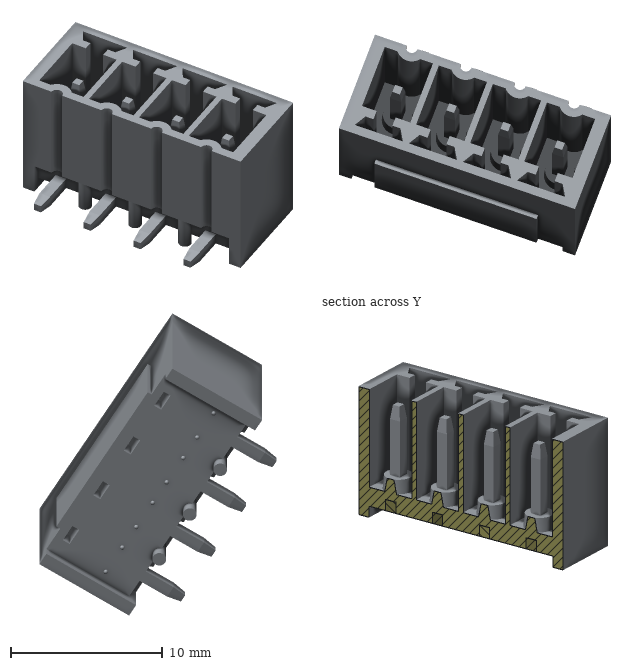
import cadquery as cq


pole_count = 4
pitch = 3.8
pin_width = 0.8
pin_tip_width = 0.53
pin_taper = 1.0
pin_bottom = 0.8
pin_reach = 2.6
pin_post_y = 2.8
pin_top = 8.2

width = 16.63
depth = 7.0
height = 9.2
leg_width = 0.88
underside = pin_bottom
recess_top = 2.2
recess_depth = 0.55

front_wall = 0.6
cavity_floor = recess_top
cavity_half = 1.7
cavity_back = 5.0
neck_half = 0.67
neck_back = 5.62
flare_half = 1.23
flare_back = 6.42
window_half = 0.6
window_front = 5.89

groove_radius = 0.4
rib_radius = 1.0

collar_radius = 1.05
collar_top_radius = 0.96
collar_height = 1.0

pad_diameter = 0.3
pad_offset = 1.03
post_diameter = 0.9
post_y = post_diameter / 2

plate_thickness = 0.3
plate_width = (pole_count - 1) * pitch
plate_top = 5.5

pole_places = [(i - (pole_count - 1) / 2) * pitch for i in range(pole_count)]
post_places = [(a + b) / 2 for a, b in zip(pole_places, pole_places[1:])]


def block(x0, x1, y0, y1, z0, z1):
    """A box between two opposite corners."""
    return cq.Workplane("XY").box(x1 - x0, y1 - y0, z1 - z0, centered=False).translate((x0, y0, z0))


def upright_cylinder(x, y, radius, z0, z1):
    return cq.Workplane("XY", origin=(x, y, z0)).circle(radius).extrude(z1 - z0)


def tapered_tip(shoulder):
    """Square tip that narrows away from the shoulder plane it stands on."""
    base = shoulder.rect(pin_width, pin_width)
    return base.workplane(offset=pin_taper).rect(pin_tip_width, pin_tip_width).loft()


def make_pin(x):
    """Square L-shaped contact with a tapered tip at both ends."""
    half = pin_width / 2
    axis_z = pin_bottom + half
    shoulder_y = -pin_reach + pin_taper
    shoulder_z = pin_top - pin_taper
    foot = block(x - half, x + half, shoulder_y, pin_post_y + half, pin_bottom, pin_bottom + pin_width)
    upright = block(x - half, x + half, pin_post_y - half, pin_post_y + half, pin_bottom, shoulder_z)
    front_tip = tapered_tip(cq.Workplane("XZ", origin=(x, shoulder_y, axis_z)))
    top_tip = tapered_tip(cq.Workplane("XY", origin=(x, pin_post_y, shoulder_z)))
    return foot.union(upright).union(front_tip).union(top_tip)


def make_cavity(x):
    """Plug space: a main bay, a narrow neck and a dovetail behind it, plus a window through the bottom."""
    right_side = [
        (cavity_half, front_wall),
        (cavity_half, cavity_back),
        (neck_half, cavity_back),
        (neck_half, neck_back),
        (flare_half, neck_back),
        (cavity_half, flare_back),
    ]
    left_side = [(-px, py) for px, py in reversed(right_side)]
    bay = (
        cq.Workplane("XY", origin=(x, 0, cavity_floor))
        .polyline(right_side + left_side)
        .close()
        .extrude(height - cavity_floor)
    )
    rib = upright_cylinder(x, 0, rib_radius, cavity_floor, height)
    collar_base = cq.Vector(x, pin_post_y, cavity_floor)
    collar = cq.Workplane(cq.Solid.makeCone(collar_radius, collar_top_radius, collar_height, collar_base))
    window = block(x - window_half, x + window_half, window_front, flare_back, underside, height)
    return bay.cut(rib).cut(collar).union(window)


def make_pad(x):
    """Half-round pad on the underside; its upper half lies inside the housing."""
    return cq.Workplane("XY", origin=(x, pin_post_y, underside)).sphere(pad_diameter / 2)


def make_shell():
    """Block open between its end legs, with a shallow front recess and a plate on the back."""
    half_span = width / 2 - leg_width
    leg_gap = block(-half_span, half_span, 0, depth, 0, underside)
    recess = block(-half_span, half_span, 0, recess_depth, underside, recess_top)
    plate = block(-plate_width / 2, plate_width / 2, depth, depth + plate_thickness, underside, plate_top)
    shell = block(-width / 2, width / 2, 0, depth, 0, height)
    return shell.cut(leg_gap).cut(recess).union(plate)


def make_housing(pins):
    """Shell with its cavities, grooves, pads and posts, and a matching hole for each pin."""
    housing = make_shell()
    for x in pole_places:
        housing = housing.cut(make_cavity(x))
        housing = housing.cut(upright_cylinder(x, 0, groove_radius, recess_top, height))
        housing = housing.union(make_pad(x - pad_offset))
        housing = housing.union(make_pad(x + pad_offset))
    for x in post_places:
        housing = housing.union(upright_cylinder(x, post_y, post_diameter / 2, 0, recess_top))
    for pin in pins:
        housing = housing.cut(pin)
    return housing


pins = [make_pin(x) for x in pole_places]
housing = make_housing(pins)
result = cq.Compound.makeCompound([housing.val(), *[pin.val() for pin in pins]])